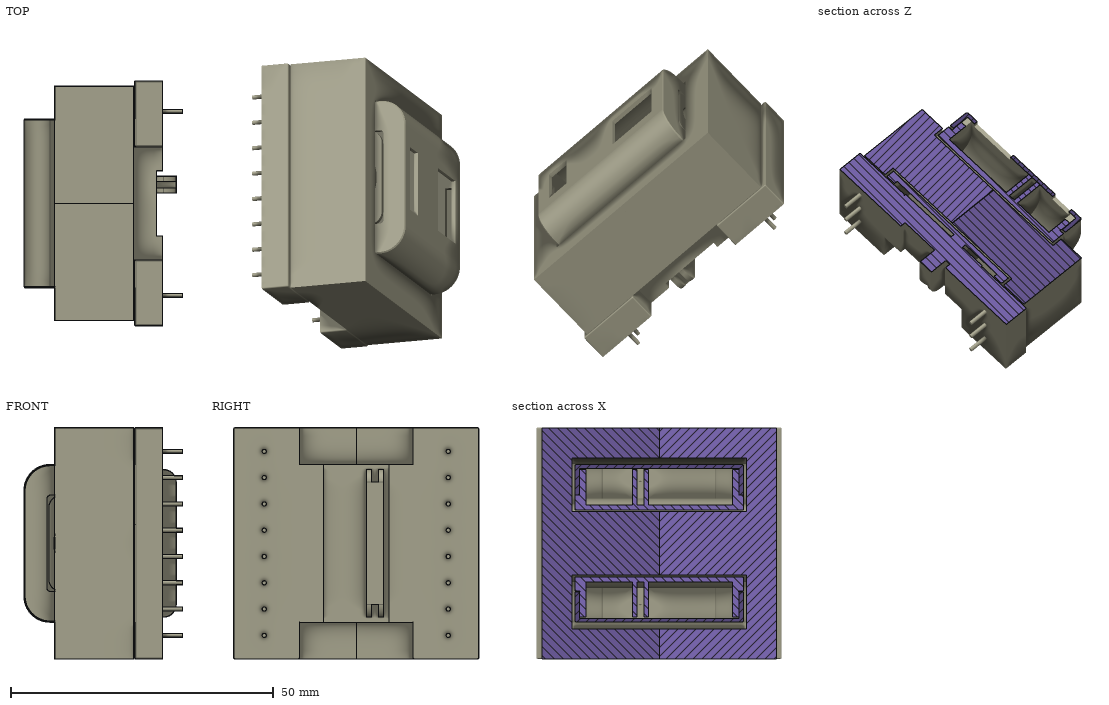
import cadquery as cq
import math


CORE_THICKNESS = 15.0
CORE_HALF_LENGTH = 22.3
CORE_HEIGHT = 44.0
CORE_OPENING_HALF_LENGTH = 16.55
CENTER_LEG_DIAMETER = 14.8
AXIS_X = CORE_THICKNESS / 2

COVER_HEIGHT = 30.0
COVER_HALF_LENGTH = 16.1
COVER_PROJECTION = 5.85
COVER_WALL = 0.8
COVER_END_WALL = 1.0
COVER_CORNER_RADIUS = 5.0
COVER_EDGE_CHAMFER = 0.25
COVER_SLOT_HEIGHT = 18.35
COVER_SLOT_PROJECTION = 1.5
COVER_SLOT_RADIUS = 0.7
WINDOW_HEIGHT = 12.3
WINDOW_Y_RANGES = [(8.65, 13.15), (-13.15, -3.1)]

CORE_OPENING_DIAMETER = 2 * math.hypot(COVER_HEIGHT / 2, AXIS_X)

PLATE_HEIGHT = 28.1
TUBE_OUTER_DIAMETER = 17.0
TUBE_BORE_DIAMETER = 15.3
FLANGE_THICKNESS = 1.2
FLANGE_NOTCH_HEIGHT = 10.15
FLANGE_NOTCH_FLOOR_X = -3.55
PAD_HEIGHT = 18.25
PAD_PROJECTION = 1.1
PAD_CORNER_RADIUS = 2.35

DIVIDER_Y_MIN = 1.95
DIVIDER_WIDTH = 3.2
DIVIDER_PLATE_THICKNESS = 1.0
DIVIDER_BACK_PROJECTION = 2.6
DIVIDER_CORNER_RADIUS = 2.4

BASE_DEPTH = 5.5
BRIDGE_HEIGHT = COVER_HEIGHT
BRIDGE_NOTCH_DEPTH = 1.1
BRIDGE_NOTCH_WIDTH = 12.4
BLOCK_OUTER_Y = 23.3
BLOCK_WIDTH = 12.55
BLOCK_CLEARANCE = 0.2
BLOCK_FILLET = 0.25
PIN_DIAMETER = 0.8
PIN_LENGTH = 3.8
PINS_PER_ROW = 8
PIN_ROW_LENGTH = 35.0
PIN_ROW_SPACING = 35.0
PIN_PITCH = PIN_ROW_LENGTH / (PINS_PER_ROW - 1)

BASE_BACK_X = CORE_THICKNESS + BASE_DEPTH

CAVITY_FRONT_X = COVER_WALL - COVER_PROJECTION
CAVITY_HALF_LENGTH = COVER_HALF_LENGTH - COVER_END_WALL
CAVITY_HEIGHT = COVER_HEIGHT - 2 * COVER_WALL
CAVITY_CORNER_RADIUS = COVER_CORNER_RADIUS - COVER_WALL


def box(x_min, x_max, y_min, y_max, height):
    """Box between the given X and Y limits, centered on Z = 0."""
    return (
        cq.Workplane("XY")
        .box(x_max - x_min, y_max - y_min, height)
        .translate(((x_min + x_max) / 2, (y_min + y_max) / 2, 0))
    )


def axis_cylinder(diameter, y_min, y_max):
    """Cylinder about the winding axis, which is parallel to Y."""
    return (
        cq.Workplane("XZ", origin=(AXIS_X, y_min, 0))
        .circle(diameter / 2)
        .extrude(y_min - y_max)
    )


def make_core_half(side):
    """E core half on the +Y (side = 1) or -Y (side = -1) side of the joint."""
    y_min, y_max = sorted((0, side * CORE_HALF_LENGTH))
    opening_y_min, opening_y_max = sorted((0, side * CORE_OPENING_HALF_LENGTH))
    body = box(0, CORE_THICKNESS, y_min, y_max, CORE_HEIGHT)
    opening = axis_cylinder(CORE_OPENING_DIAMETER, opening_y_min, opening_y_max)
    center_leg = axis_cylinder(CENTER_LEG_DIAMETER, opening_y_min, opening_y_max)
    return body.cut(opening).union(center_leg)


def make_cover():
    """Shell open towards the base, with two windows and a slot in each end wall."""
    shell = (
        box(-COVER_PROJECTION, CORE_THICKNESS, -COVER_HALF_LENGTH, COVER_HALF_LENGTH, COVER_HEIGHT)
        .edges("|Y and <X")
        .fillet(COVER_CORNER_RADIUS)
        .faces("<X")
        .edges("<Y or >Y")
        .chamfer(COVER_EDGE_CHAMFER)
    )
    cavity = (
        box(CAVITY_FRONT_X, CORE_THICKNESS, -CAVITY_HALF_LENGTH, CAVITY_HALF_LENGTH, CAVITY_HEIGHT)
        .edges("|Y and <X")
        .fillet(CAVITY_CORNER_RADIUS)
    )
    slot = (
        box(
            -COVER_SLOT_PROJECTION,
            CORE_THICKNESS,
            -COVER_HALF_LENGTH,
            COVER_HALF_LENGTH,
            COVER_SLOT_HEIGHT,
        )
        .edges("|Y and <X")
        .fillet(COVER_SLOT_RADIUS)
    )
    cover = shell.cut(cavity).cut(slot)
    for y_min, y_max in WINDOW_Y_RANGES:
        cover = cover.cut(box(-COVER_PROJECTION, CAVITY_FRONT_X, y_min, y_max, WINDOW_HEIGHT))
    return cover


def make_plate(y_min, thickness, back_x):
    """Plate across the tube from the cover's front wall to back_x, rounded to fit the cover."""
    return (
        box(CAVITY_FRONT_X, back_x, y_min, y_min + thickness, PLATE_HEIGHT)
        .edges("|Y and <X")
        .fillet(CAVITY_CORNER_RADIUS)
    )


def make_flange(side):
    """End flange notched at the front, with a pad that fits the slot of the cover."""
    inner_y = CAVITY_HALF_LENGTH - FLANGE_THICKNESS
    plate_y_min, plate_y_max = sorted((side * inner_y, side * CAVITY_HALF_LENGTH))
    pad_y_min, pad_y_max = sorted((side * inner_y, side * COVER_HALF_LENGTH))
    notch = box(CAVITY_FRONT_X, FLANGE_NOTCH_FLOOR_X, plate_y_min, plate_y_max, FLANGE_NOTCH_HEIGHT)
    pad = (
        box(-PAD_PROJECTION, CORE_THICKNESS, pad_y_min, pad_y_max, PAD_HEIGHT)
        .edges("|Y and <X")
        .fillet(PAD_CORNER_RADIUS)
    )
    return make_plate(plate_y_min, FLANGE_THICKNESS, CORE_THICKNESS).cut(notch).union(pad)


def make_divider():
    """Two plates, rounded at the back, with a lower web between them."""
    back_x = BASE_BACK_X + DIVIDER_BACK_PROJECTION
    web_y_min = DIVIDER_Y_MIN + DIVIDER_PLATE_THICKNESS
    web_y_max = DIVIDER_Y_MIN + DIVIDER_WIDTH - DIVIDER_PLATE_THICKNESS
    web_height = PLATE_HEIGHT - 2 * DIVIDER_CORNER_RADIUS
    divider = box(AXIS_X, back_x, web_y_min, web_y_max, web_height)
    for y_min in (DIVIDER_Y_MIN, web_y_max):
        plate = make_plate(y_min, DIVIDER_PLATE_THICKNESS, back_x)
        plate = plate.edges("|Y and >X").fillet(DIVIDER_CORNER_RADIUS)
        divider = divider.union(plate)
    return divider


def make_bridge():
    """Plate behind the core that joins the terminal blocks, notched at the back."""
    inner_y = BLOCK_OUTER_Y - BLOCK_WIDTH
    notch_y = BRIDGE_NOTCH_WIDTH / 2
    bridge = box(CORE_THICKNESS, BASE_BACK_X, -inner_y, inner_y, BRIDGE_HEIGHT)
    notch = box(BASE_BACK_X - BRIDGE_NOTCH_DEPTH, BASE_BACK_X, -notch_y, notch_y, BRIDGE_HEIGHT)
    return bridge.cut(notch)


def make_terminal_block(side):
    """Block over the full core height, rounded on its front and long edges."""
    y_min, y_max = sorted((side * (BLOCK_OUTER_Y - BLOCK_WIDTH), side * BLOCK_OUTER_Y))
    return (
        box(CORE_THICKNESS + BLOCK_CLEARANCE, BASE_BACK_X, y_min, y_max, CORE_HEIGHT)
        .edges("|X or <X")
        .fillet(BLOCK_FILLET)
    )


def make_pin_row(side):
    """Row of round pins standing on the back face of a terminal block."""
    return (
        cq.Workplane("YZ", origin=(BASE_BACK_X, side * PIN_ROW_SPACING / 2, 0))
        .rarray(0.45, PIN_PITCH, 1, PINS_PER_ROW)
        .circle(PIN_DIAMETER / 2)
        .extrude(PIN_LENGTH)
    )


def make_bobbin():
    """Tube, flanges, divider, base and pins in one piece."""
    bobbin = axis_cylinder(TUBE_OUTER_DIAMETER, -COVER_HALF_LENGTH, COVER_HALF_LENGTH)
    bobbin = bobbin.union(make_divider()).union(make_bridge())
    for side in (-1, 1):
        bobbin = bobbin.union(make_flange(side))
        bobbin = bobbin.union(make_terminal_block(side))
        bobbin = bobbin.union(make_pin_row(side))
    return bobbin.cut(axis_cylinder(TUBE_BORE_DIAMETER, -COVER_HALF_LENGTH, COVER_HALF_LENGTH))


core_halves = [make_core_half(side).val() for side in (-1, 1)]
cover = make_cover()
bobbin = make_bobbin()

result = cq.Compound.makeCompound([*core_halves, cover.val(), bobbin.val()])